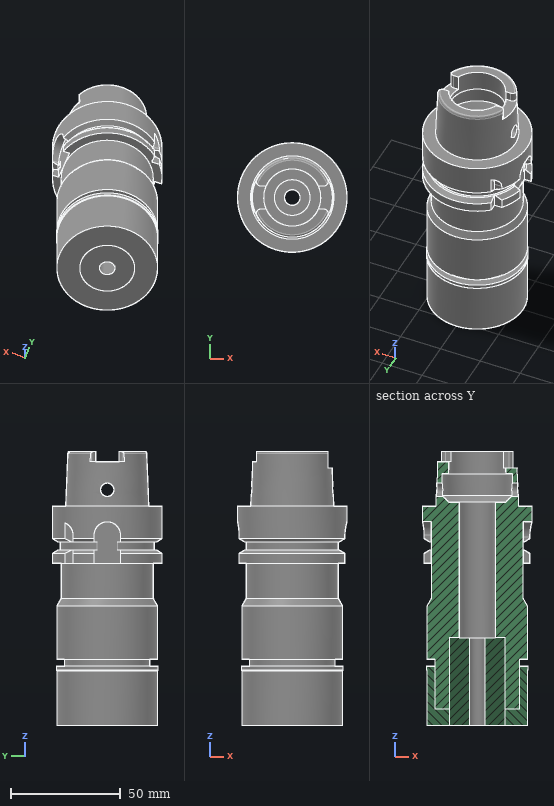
import cadquery as cq


TOTAL_LENGTH = 125
TAPER_LENGTH = 25
FLANGE_THICKNESS = 26.0
FLANGE_TOP = TOTAL_LENGTH - TAPER_LENGTH
FLANGE_BOTTOM = FLANGE_TOP - FLANGE_THICKNESS
SLEEVE_SHOULDER_TOP = 58.0
SLEEVE_SHOULDER_BOTTOM = 54.6
SLEEVE_BOTTOM = 30.2
NUT_TOP = 27.1

TAPER_BASE_RADIUS = 19.0
TAPER_TOP_RADIUS = 18.0
TAPER_TOP_FILLET = 1.0
BORE_RADIUS = 13.0
BORE_DEPTH = 10.2
UNDERCUT_RADIUS = 16.0
UNDERCUT_DEPTH = 20.1
BORE_FLOOR_DEPTH = UNDERCUT_DEPTH + UNDERCUT_RADIUS - BORE_RADIUS
DUCT_RADIUS = 8.1

DRIVE_SLOT_WIDTH = 10.5
DRIVE_SLOT_MOUTH = 16.4
DRIVE_SLOT_CORNER = 2.0
DRIVE_SLOT_DEPTH_LEFT = 4.6
DRIVE_SLOT_DEPTH_RIGHT = 7.5

CROSS_HOLE_DIAMETER = 6.0
CROSS_HOLE_DEPTH = 17.5

BODY_RADIUS = 21.0
SLEEVE_RADIUS = 23.0
NECK_RADIUS = 19.5
NECK_BOTTOM = 7.5

FLANGE_RADIUS = 25
GRIP_GROOVE_RADIUS = 21.5
GRIP_GROOVE_CENTER = FLANGE_TOP - 18.1
GRIP_GROOVE_WIDTH = 3.5
GRIP_BEVEL_RADIUS = 22.5
GRIP_BEVEL_HEIGHT = 1.6
KEYWAY_FLOOR = 21.0
KEYWAY_WIDTH_LEFT = 12.0
KEYWAY_WIDTH_RIGHT = 14.0
KEYWAY_TOP = FLANGE_TOP - 7.1
NOTCH_FLOOR = 15.9
NOTCH_WIDTH = KEYWAY_WIDTH_LEFT
NOTCH_WALL = 15.6

NUT_RADIUS = SLEEVE_RADIUS
COLLAR_RADIUS = 23.2
COLLAR_HEIGHT = 1.9
COLLET_RADIUS = 12.5
COLLET_LENGTH = 40
COLLET_BORE_RADIUS = 3.5


def cylinder(radius, bottom, top):
    return cq.Workplane("XY").workplane(offset=bottom).circle(radius).extrude(top - bottom)


def revolve_profile(points):
    """Turn a closed outline of (radius, z) points about the Z axis."""
    return cq.Workplane("YZ").polyline(points).close().revolve(360, (0, 0, 0), (0, 1, 0))


def make_holder_blank():
    groove_top = GRIP_GROOVE_CENTER + GRIP_GROOVE_WIDTH / 2
    groove_bottom = GRIP_GROOVE_CENTER - GRIP_GROOVE_WIDTH / 2
    blank = revolve_profile([
        (0, TOTAL_LENGTH),
        (TAPER_TOP_RADIUS, TOTAL_LENGTH),
        (TAPER_BASE_RADIUS, FLANGE_TOP),
        (FLANGE_RADIUS, FLANGE_TOP),
        (FLANGE_RADIUS, groove_top + GRIP_BEVEL_HEIGHT),
        (GRIP_BEVEL_RADIUS, groove_top),
        (GRIP_GROOVE_RADIUS, groove_top),
        (GRIP_GROOVE_RADIUS, groove_bottom),
        (GRIP_BEVEL_RADIUS, groove_bottom),
        (FLANGE_RADIUS, groove_bottom - GRIP_BEVEL_HEIGHT),
        (FLANGE_RADIUS, FLANGE_BOTTOM),
        (BODY_RADIUS, FLANGE_BOTTOM),
        (BODY_RADIUS, SLEEVE_SHOULDER_TOP),
        (SLEEVE_RADIUS, SLEEVE_SHOULDER_BOTTOM),
        (SLEEVE_RADIUS, SLEEVE_BOTTOM),
        (NECK_RADIUS, SLEEVE_BOTTOM),
        (NECK_RADIUS, NECK_BOTTOM),
        (0, NECK_BOTTOM),
    ])
    return blank.faces(">Z").edges().fillet(TAPER_TOP_FILLET)


def make_shank_bore():
    """The stepped bore with its undercut, and the duct down to the collet."""
    floor = TOTAL_LENGTH - BORE_FLOOR_DEPTH
    bore = revolve_profile([
        (0, TOTAL_LENGTH),
        (BORE_RADIUS, TOTAL_LENGTH),
        (BORE_RADIUS, TOTAL_LENGTH - BORE_DEPTH),
        (UNDERCUT_RADIUS, TOTAL_LENGTH - BORE_DEPTH),
        (UNDERCUT_RADIUS, TOTAL_LENGTH - UNDERCUT_DEPTH),
        (BORE_RADIUS, floor),
        (0, floor),
    ])
    return bore.union(cylinder(DUCT_RADIUS, COLLET_LENGTH, floor))


def make_drive_slot(side, depth):
    """A slot that leaves the taper on the given X side (-1 or 1) and rounds outward at its mouth."""
    half = DRIVE_SLOT_WIDTH / 2
    mouth = side * DRIVE_SLOT_MOUTH
    round_start = side * (DRIVE_SLOT_MOUTH - DRIVE_SLOT_CORNER)
    outside = side * FLANGE_RADIUS
    flare = half + DRIVE_SLOT_CORNER
    return (
        cq.Workplane("XY").workplane(offset=TOTAL_LENGTH - depth)
        .moveTo(0, -half)
        .lineTo(round_start, -half)
        .radiusArc((mouth, -flare), side * DRIVE_SLOT_CORNER)
        .lineTo(mouth, -TAPER_BASE_RADIUS)
        .lineTo(outside, -TAPER_BASE_RADIUS)
        .lineTo(outside, TAPER_BASE_RADIUS)
        .lineTo(mouth, TAPER_BASE_RADIUS)
        .lineTo(mouth, flare)
        .radiusArc((round_start, half), side * DRIVE_SLOT_CORNER)
        .lineTo(0, half)
        .close()
        .extrude(depth)
    )


def make_round_top_slot(side, floor, width, center_y):
    """A flange slot with a flat floor facing X, open at the flange's bottom and round at its top."""
    half = width / 2
    round_center = KEYWAY_TOP - half
    return (
        cq.Workplane("YZ").workplane(offset=side * floor)
        .moveTo(center_y - half, FLANGE_BOTTOM)
        .lineTo(center_y - half, round_center)
        .threePointArc((center_y, KEYWAY_TOP), (center_y + half, round_center))
        .lineTo(center_y + half, FLANGE_BOTTOM)
        .close()
        .extrude(side * FLANGE_RADIUS)
    )


def make_cross_hole():
    return (
        cq.Workplane("YZ").center(0, TOTAL_LENGTH - CROSS_HOLE_DEPTH)
        .circle(CROSS_HOLE_DIAMETER / 2).extrude(FLANGE_RADIUS, both=True)
    )


def make_holder():
    cutters = [
        make_shank_bore(),
        make_cross_hole(),
        make_drive_slot(-1, DRIVE_SLOT_DEPTH_LEFT),
        make_drive_slot(1, DRIVE_SLOT_DEPTH_RIGHT),
        make_round_top_slot(-1, KEYWAY_FLOOR, KEYWAY_WIDTH_LEFT, 0),
        make_round_top_slot(1, KEYWAY_FLOOR, KEYWAY_WIDTH_RIGHT, 0),
        make_round_top_slot(-1, NOTCH_FLOOR, NOTCH_WIDTH, NOTCH_WALL + NOTCH_WIDTH / 2),
        cylinder(COLLET_RADIUS, NECK_BOTTOM, COLLET_LENGTH),
    ]
    holder = make_holder_blank()
    for cutter in cutters:
        holder = holder.cut(cutter)
    return holder


def make_nut():
    """A cup over the holder's neck, with a collar that bevels down to the nut's own radius."""
    collar_bottom = NUT_TOP - COLLAR_HEIGHT
    bevel = COLLAR_RADIUS - NUT_RADIUS
    return revolve_profile([
        (COLLET_RADIUS, 0),
        (NUT_RADIUS, 0),
        (NUT_RADIUS, collar_bottom - bevel),
        (COLLAR_RADIUS, collar_bottom),
        (COLLAR_RADIUS, NUT_TOP),
        (NECK_RADIUS, NUT_TOP),
        (NECK_RADIUS, NECK_BOTTOM),
        (COLLET_RADIUS, NECK_BOTTOM),
    ])


def make_collet():
    return cylinder(COLLET_RADIUS, 0, COLLET_LENGTH).cut(cylinder(COLLET_BORE_RADIUS, 0, COLLET_LENGTH))


holder = make_holder()
nut = make_nut()
collet = make_collet()

result = cq.Compound.makeCompound([body.solids().val() for body in (holder, nut, collet)])